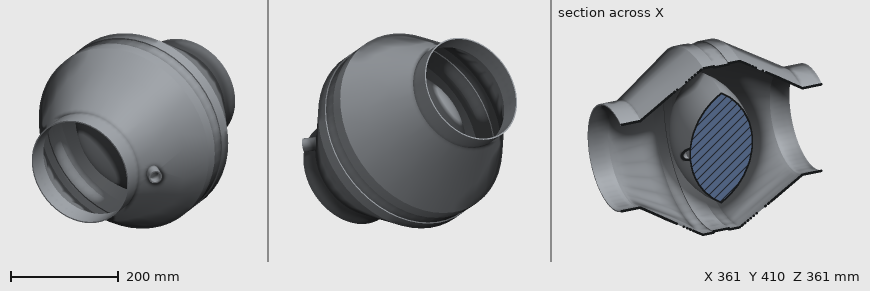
import cadquery as cq
import math

WALL = 2.5
COLLAR_RADIUS = 205 / 2
FLANGE_RADIUS = 361 / 2
BAND_RADIUS = FLANGE_RADIUS - WALL
HALF_LENGTH = 410 / 2
COLLAR_LENGTH = 40
CONE_START = HALF_LENGTH - COLLAR_LENGTH
FLANGE_HALF_SPAN = 37.5
BAND_HALF_WIDTH = 14
STEP_HALF_WIDTH = BAND_HALF_WIDTH + WALL

POD_SPHERE_RADIUS = 142
POD_HALF_DEPTH = 72
POD_RIM_RADIUS = math.sqrt(POD_SPHERE_RADIUS**2 - (POD_SPHERE_RADIUS - POD_HALF_DEPTH) ** 2)

PIPE_DIAMETER = 25
PIPE_BORE = 20
PIPE_ANGLE = 47
PIPE_END_X = 133.7
PIPE_END_Y = -157


def shell_half():
    """Revolved outline of the -Y half of the thin-walled duct."""
    outer = [
        (COLLAR_RADIUS, -HALF_LENGTH),
        (COLLAR_RADIUS, -CONE_START),
        (FLANGE_RADIUS, -FLANGE_HALF_SPAN),
        (FLANGE_RADIUS, -BAND_HALF_WIDTH),
        (BAND_RADIUS, -BAND_HALF_WIDTH),
        (BAND_RADIUS, 0),
    ]
    inner = [
        (BAND_RADIUS - WALL, 0),
        (BAND_RADIUS - WALL, -STEP_HALF_WIDTH),
        (FLANGE_RADIUS - WALL, -STEP_HALF_WIDTH),
        (FLANGE_RADIUS - WALL, -FLANGE_HALF_SPAN),
        (COLLAR_RADIUS - WALL, -CONE_START),
        (COLLAR_RADIUS - WALL, -HALF_LENGTH),
    ]
    return cq.Workplane("XY").polyline(outer + inner).close().revolve(360, (0, 0, 0), (0, 1, 0))


def duct_shell():
    half = shell_half()
    return half.union(half.mirror("XZ"))


def motor_pod():
    """Solid lens-shaped body, revolved about the Y axis."""
    half = (
        cq.Workplane("XY")
        .moveTo(0, -POD_HALF_DEPTH)
        .radiusArc((POD_RIM_RADIUS, 0), -POD_SPHERE_RADIUS)
        .lineTo(0, 0)
        .close()
        .revolve(360, (0, 0, 0), (0, 1, 0))
    )
    return half.union(half.mirror("XZ"))


def pipe_rod(diameter):
    """Rod from the pipe's outer end inward to the YZ plane, ending inside the pod."""
    angle = math.radians(PIPE_ANGLE)
    inward = cq.Vector(-math.cos(angle), math.sin(angle), 0)
    length = PIPE_END_X / math.cos(angle)
    end = cq.Vector(PIPE_END_X, PIPE_END_Y, 0)
    return cq.Workplane(cq.Solid.makeCylinder(diameter / 2, length, end, inward))


result = duct_shell().union(pipe_rod(PIPE_DIAMETER)).cut(pipe_rod(PIPE_BORE)).union(motor_pod())